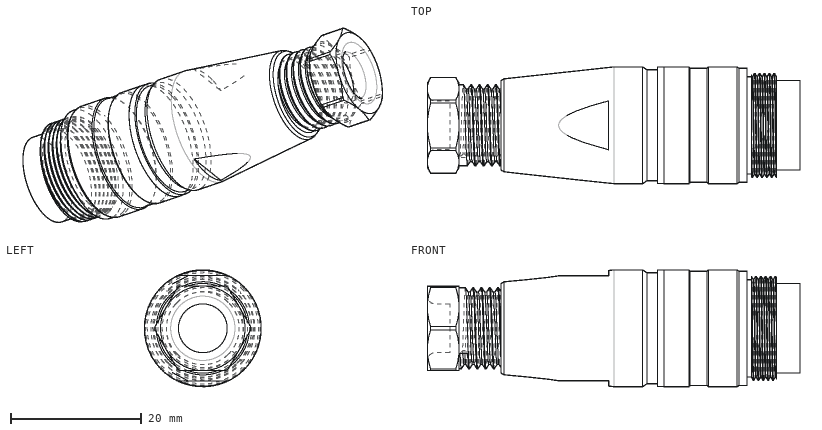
import cadquery as cq
import math


NUT_ACROSS_FLATS = 13.0
NUT_CORNER_DIAMETER = 14.74
NUT_LENGTH = 4.87
NUT_CHAMFER_LENGTH = 0.5
NUT_CHAMFER = (NUT_CORNER_DIAMETER - NUT_ACROSS_FLATS) / 2
BORE_DIAMETER = 7.5
BORE_ROUNDING = 1.2
BORE_DEPTH = 3.5

GLAND_DIAMETER = 12.5
GLAND_PITCH = 1.27
GLAND_THREAD_DEPTH = 0.65
GLAND_ROOT_WIDTH = 0.3
GLAND_GROOVE_WIDTH = 1.15
GLAND_GROOVE_START = 5.6
GLAND_START_ANGLE = -52.0

SLEEVE_START = 11.3
SLEEVE_END_DIAMETER = 13.8
SLEEVE_EDGE_LENGTH = 0.5
TAPER_SMALL_DIAMETER = 14.34
FLAT_END = 27.87
FLAT_SPACING = 16.16

BODY_DIAMETER = 18.0
TAPER_END = 28.65
GROOVE_BEVEL_START = 33.1
GROOVE_START = 33.75
GROOVE_END = 35.35
GROOVE_DIAMETER = 17.1
RING_DIAMETER = 17.96
RING_END = 36.4
RECESS_START = 40.3
RECESS_END = 43.1
RECESS_DIAMETER = 17.6
RECESS_BEVEL = 0.1
FRONT_BEVEL_START = 47.6
FRONT_BEVEL_END = 47.9
SHOULDER_END = 49.15
NECK_DIAMETER = 15.0

COUPLING_START = 49.8
COUPLING_END = 53.7
COUPLING_DIAMETER = 16.0
COUPLING_PITCH = 0.75
COUPLING_THREAD_DEPTH = 0.46
COUPLING_ROOT_WIDTH = 0.1
COUPLING_GROOVE_WIDTH = 0.65
COUPLING_OVERRUN = 0.5
COUPLING_START_ANGLE = 139.0
SPIGOT_DIAMETER = 13.8
TOTAL_LENGTH = 57.3

CUTTER_OVERLAP = 0.1


def revolve_about_x(profile):
    """Turn an (x, radius) profile about the X axis."""
    return cq.Workplane("XY").polyline(profile).close().revolve(360, (0, 0, 0), (1, 0, 0))


def cylinder_along_x(start, end, diameter):
    return cq.Workplane("YZ", origin=(start, 0, 0)).circle(diameter / 2).extrude(end - start)


def helical_groove(diameter, depth, pitch, root_width, mouth_width, start, end, start_angle):
    """Right-handed trapezoidal groove about X; the angle is counted from -Z towards +Y."""
    root_radius = diameter / 2 - depth
    flank_slope = (mouth_width - root_width) / 2 / depth
    outer_radius = diameter / 2 + CUTTER_OVERLAP
    outer_half_width = mouth_width / 2 + flank_slope * CUTTER_OVERLAP
    helix = cq.Workplane(cq.Wire.makeHelix(pitch, end - start, root_radius))
    groove = (
        cq.Workplane("XZ")
        .polyline([
            (root_radius, -root_width / 2),
            (outer_radius, -outer_half_width),
            (outer_radius, outer_half_width),
            (root_radius, root_width / 2),
        ])
        .close()
        .sweep(helix, isFrenet=True)
    )
    turned = groove.rotate((0, 0, 0), (0, 0, 1), start_angle)
    return turned.rotate((0, 0, 0), (0, 1, 0), 90).translate((start, 0, 0))


def make_nut():
    """Hexagon with flats facing +Z and -Z and bevelled corners."""
    corner_radius = NUT_CORNER_DIAMETER / 2
    face_radius = corner_radius - NUT_CHAMFER
    across_corners = NUT_ACROSS_FLATS / math.cos(math.pi / 6)
    hexagon = cq.Workplane("YZ").polygon(6, across_corners).extrude(NUT_LENGTH)
    envelope = revolve_about_x([
        (0, 0),
        (0, face_radius),
        (NUT_CHAMFER_LENGTH, corner_radius),
        (NUT_LENGTH - NUT_CHAMFER_LENGTH, corner_radius),
        (NUT_LENGTH, face_radius),
        (NUT_LENGTH, 0),
    ])
    return hexagon.intersect(envelope)


def make_bore():
    """Blind cable entry with a rounded mouth."""
    bore_radius = BORE_DIAMETER / 2
    return (
        cq.Workplane("XY")
        .moveTo(0, 0)
        .lineTo(0, bore_radius + BORE_ROUNDING)
        .radiusArc((BORE_ROUNDING, bore_radius), -BORE_ROUNDING)
        .lineTo(BORE_DEPTH, bore_radius)
        .lineTo(BORE_DEPTH, 0)
        .close()
        .revolve(360, (0, 0, 0), (1, 0, 0))
    )


def make_gland_thread():
    """Threaded stud; its groove starts just past the nut and runs in under the sleeve."""
    stud = cylinder_along_x(NUT_LENGTH, SLEEVE_START + GLAND_PITCH, GLAND_DIAMETER)
    groove = helical_groove(
        GLAND_DIAMETER, GLAND_THREAD_DEPTH, GLAND_PITCH, GLAND_ROOT_WIDTH, GLAND_GROOVE_WIDTH,
        GLAND_GROOVE_START, SLEEVE_START + GLAND_PITCH, GLAND_START_ANGLE,
    )
    return stud.cut(groove)


def make_barrel():
    """Tapered sleeve, stepped barrel, neck and spigot in one turned shape."""
    body_radius = BODY_DIAMETER / 2
    groove_radius = GROOVE_DIAMETER / 2
    ring_radius = RING_DIAMETER / 2
    recess_radius = RECESS_DIAMETER / 2
    neck_radius = NECK_DIAMETER / 2
    spigot_radius = SPIGOT_DIAMETER / 2
    return revolve_about_x([
        (SLEEVE_START, 0),
        (SLEEVE_START, SLEEVE_END_DIAMETER / 2),
        (SLEEVE_START + SLEEVE_EDGE_LENGTH, TAPER_SMALL_DIAMETER / 2),
        (TAPER_END, body_radius),
        (GROOVE_BEVEL_START, body_radius),
        (GROOVE_START, groove_radius),
        (GROOVE_END, groove_radius),
        (GROOVE_END, ring_radius),
        (RING_END, ring_radius),
        (RING_END, body_radius),
        (RECESS_START - RECESS_BEVEL, body_radius),
        (RECESS_START + RECESS_BEVEL, recess_radius),
        (RECESS_END - RECESS_BEVEL, recess_radius),
        (RECESS_END + RECESS_BEVEL, body_radius),
        (FRONT_BEVEL_START, body_radius),
        (FRONT_BEVEL_END, recess_radius),
        (SHOULDER_END, recess_radius),
        (SHOULDER_END, neck_radius),
        (COUPLING_END, neck_radius),
        (COUPLING_END, spigot_radius),
        (TOTAL_LENGTH, spigot_radius),
        (TOTAL_LENGTH, 0),
    ])


def cut_wrench_flats(barrel):
    """Trim the taper above and below to two parallel flats."""
    length = FLAT_END - SLEEVE_START
    height = BODY_DIAMETER - FLAT_SPACING
    for side in (1, -1):
        trim = cq.Workplane("XY").box(length, BODY_DIAMETER, height).translate(
            ((SLEEVE_START + FLAT_END) / 2, 0, side * (FLAT_SPACING + height) / 2)
        )
        barrel = barrel.cut(trim)
    return barrel


def make_coupling_thread():
    """Fine thread cut over its full length, almost down to the neck."""
    blank = cylinder_along_x(COUPLING_START, COUPLING_END, COUPLING_DIAMETER)
    groove = helical_groove(
        COUPLING_DIAMETER, COUPLING_THREAD_DEPTH, COUPLING_PITCH,
        COUPLING_ROOT_WIDTH, COUPLING_GROOVE_WIDTH,
        COUPLING_START - COUPLING_OVERRUN, COUPLING_END + COUPLING_OVERRUN, COUPLING_START_ANGLE,
    )
    return blank.cut(groove)


barrel = cut_wrench_flats(make_barrel())
result = (
    make_nut()
    .union(make_gland_thread())
    .union(barrel)
    .union(make_coupling_thread())
    .cut(make_bore())
)